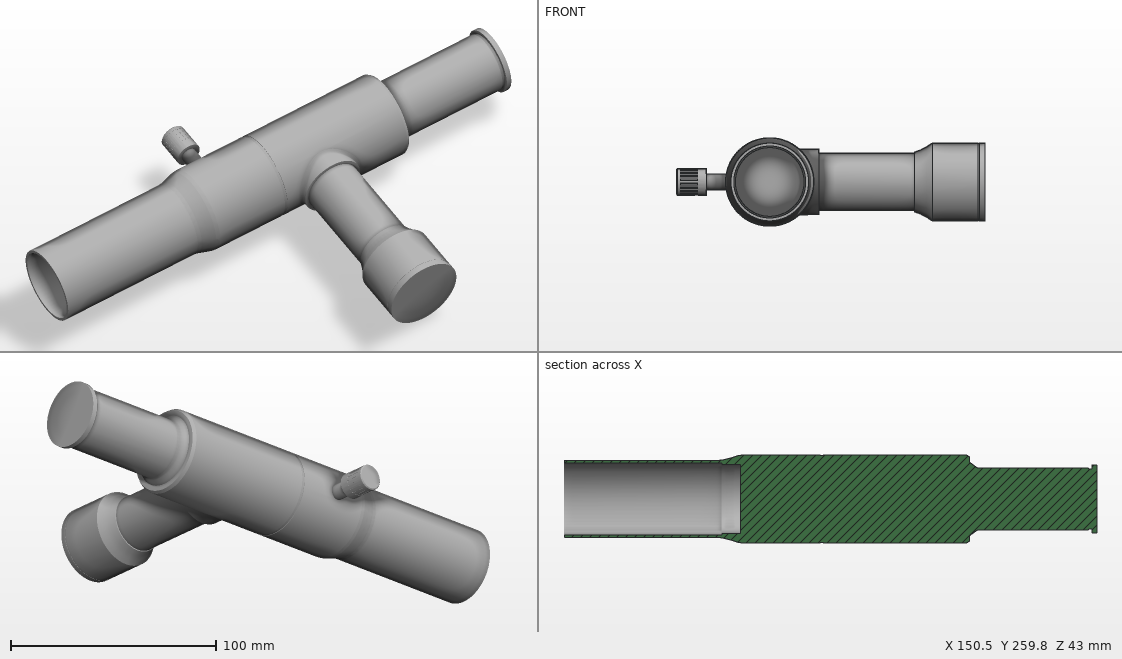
import cadquery as cq

overall_length = 259.8
back_end = 109.0
front_end = back_end - overall_length
body_radius = 21.5
body_groove_radius = 21.3
body_groove_back = -24.7
body_groove_width = 1.5

flange_diameter = 33.5
flange_radius = flange_diameter / 2
flange_thickness = 2.5
flange_neck_radius = 14.8
flange_neck_length = 1.5
rear_pipe_diameter = 30.5
rear_pipe_radius = rear_pipe_diameter / 2

weld_start = 51.5
weld_foot = 49.6
weld_foot_radius = 15.9
weld_top_radius = 18.0
shoulder_face = 46.8
shoulder_face_radius = 20.5
shoulder_end = 45.2

front_pipe_radius = 19.0
taper_start = -65.2
taper_end = -74.3
taper_fillet = 7.8
front_bore_diameter = 35.0
bore_step_diameter = 33.5
bore_floor = taper_start

branch_end = 105.0
collar_diameter = 32.0
collar_radius = collar_diameter / 2
collar_end = 24.0
collar_fillet = 1.8
branch_pipe_radius = 14.0
reducer_start = 70.7
reducer_start_radius = 14.5
reducer_middle = 75.0
reducer_middle_radius = 16.5
socket_start = 79.3
socket_radius = 19.0
socket_groove_end = 102.5
socket_groove_width = 0.8
socket_groove_depth = 0.13

knob_y = -48.0
knob_end = -45.5
knob_length = 14.5
knob_radius = 6.5
knob_chamfer = 0.5
stem_radius = 4.0
knurl_start = -43.5
knurl_length = 8.0
knurl_count = 20
knurl_width = 0.8
knurl_depth = 0.13


def make_body():
    flange_face = back_end - flange_thickness
    rear_pipe_end = flange_face - flange_neck_length
    outline = (
        cq.Workplane("XY")
        .moveTo(0, back_end)
        .lineTo(flange_radius, back_end)
        .lineTo(flange_radius, flange_face)
        .lineTo(flange_neck_radius, flange_face)
        .lineTo(flange_neck_radius, rear_pipe_end)
        .lineTo(rear_pipe_radius, rear_pipe_end)
        .lineTo(rear_pipe_radius, weld_start)
        .tangentArcPoint((weld_foot_radius, weld_foot), relative=False)
        .lineTo(weld_top_radius, shoulder_face)
        .lineTo(shoulder_face_radius, shoulder_face)
        .lineTo(body_radius, shoulder_end)
        .lineTo(body_radius, taper_start)
        .lineTo(front_pipe_radius, taper_end)
        .lineTo(front_pipe_radius, front_end)
        .lineTo(0, front_end)
        .close()
    )
    body = outline.revolve(360, (0, 0, 0), (0, 1, 0))
    return round_taper(body)


def round_taper(body):
    """Round both circular edges of the taper between the body and the front pipe."""
    margin = 0.3
    reach = body_radius + margin
    taper_zone = cq.selectors.BoxSelector(
        (-reach, taper_end - margin, -reach),
        (reach, taper_start + margin, reach),
        boundingbox=True,
    )
    return body.edges(taper_zone).edges("%CIRCLE").fillet(taper_fillet)


def make_body_groove():
    """Ring that cuts the shallow joint groove around the body."""
    clearance = 2.5
    return (
        cq.Workplane("XZ", origin=(0, body_groove_back, 0))
        .circle(body_radius + clearance)
        .circle(body_groove_radius)
        .extrude(body_groove_width)
    )


def make_front_bore():
    """Blind bore of the front pipe, with a small step in diameter where the taper begins."""
    bore = (
        cq.Workplane("XZ", origin=(0, taper_end, 0))
        .circle(front_bore_diameter / 2)
        .extrude(taper_end - front_end)
    )
    step = (
        cq.Workplane("XZ", origin=(0, bore_floor, 0))
        .circle(bore_step_diameter / 2)
        .extrude(bore_floor - taper_end)
    )
    return bore.union(step)


def add_collar(body):
    """Weld collar where the branch leaves the body, with a fillet around the joint."""
    collar = cq.Workplane("YZ").circle(collar_radius).extrude(collar_end)
    joined = body.union(collar)
    margin = 0.3
    joint_zone = cq.selectors.BoxSelector(
        (0, -2 * collar_radius, -body_radius),
        (collar_end - margin, 2 * collar_radius, body_radius),
        boundingbox=True,
    )
    return joined.edges(joint_zone).fillet(collar_fillet)


def make_branch():
    groove_start = socket_groove_end - socket_groove_width
    groove_radius = socket_radius - socket_groove_depth
    return (
        cq.Workplane("XY")
        .lineTo(0, branch_pipe_radius)
        .lineTo(reducer_start, branch_pipe_radius)
        .lineTo(reducer_start, reducer_start_radius)
        .threePointArc((reducer_middle, reducer_middle_radius), (socket_start, socket_radius))
        .lineTo(groove_start, socket_radius)
        .lineTo(groove_start, groove_radius)
        .lineTo(socket_groove_end, groove_radius)
        .lineTo(socket_groove_end, socket_radius)
        .lineTo(branch_end, socket_radius)
        .lineTo(branch_end, 0)
        .close()
        .revolve(360, (0, 0, 0), (1, 0, 0))
    )


def make_knob():
    stem_start = knob_end + knob_length
    stem_overlap = 2.5
    half_pitch = 360 / knurl_count / 2
    stem_end = -body_radius + stem_overlap
    knob = (
        cq.Workplane("YZ", origin=(knob_end, knob_y, 0))
        .circle(knob_radius)
        .extrude(knob_length)
        .faces("<X")
        .chamfer(knob_chamfer)
    )
    knurl = (
        cq.Workplane("YZ", origin=(knurl_start, knob_y, 0))
        .polarArray(knob_radius, half_pitch, 360, knurl_count)
        .rect(2 * knurl_depth, knurl_width)
        .extrude(knurl_length)
    )
    stem = (
        cq.Workplane("YZ", origin=(stem_start, knob_y, 0))
        .circle(stem_radius)
        .extrude(stem_end - stem_start)
    )
    return knob.cut(knurl).union(stem)


valve = add_collar(make_body().cut(make_body_groove()))
result = valve.union(make_branch()).union(make_knob()).cut(make_front_bore())